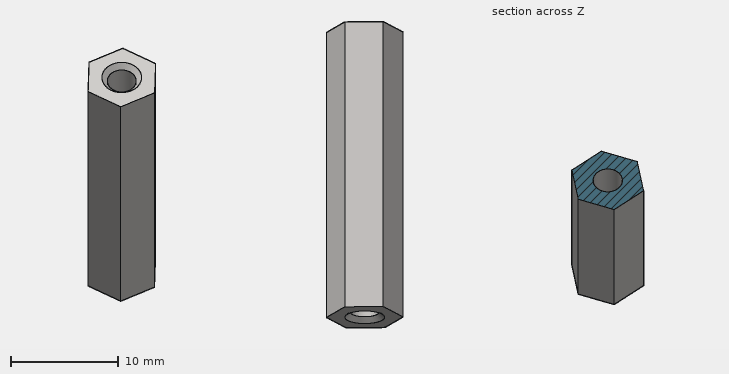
import cadquery as cq
import math

length = 28.0
across_corners = 7.17
bore_diameter = 2.7
countersink_diameter = 3.7
countersink_angle = 90.0

half_cone_angle = math.radians(countersink_angle / 2)
countersink_depth = (countersink_diameter - bore_diameter) / 2 / math.tan(half_cone_angle)


def hexagonal_bar():
    """Solid hexagonal bar centred on the origin."""
    return cq.Workplane("XY").polygon(6, across_corners).extrude(length / 2, both=True)


def countersunk_bore():
    """Through bore with a conical countersink at each end, revolved about Z."""
    bore_radius = bore_diameter / 2
    rim_radius = countersink_diameter / 2
    end = length / 2
    cone_start = end - countersink_depth
    profile = [
        (0, -end),
        (rim_radius, -end),
        (bore_radius, -cone_start),
        (bore_radius, cone_start),
        (rim_radius, end),
        (0, end),
    ]
    return cq.Workplane("XZ").polyline(profile).close().revolve(360, (0, 0), (0, 1))


result = hexagonal_bar().cut(countersunk_bore())